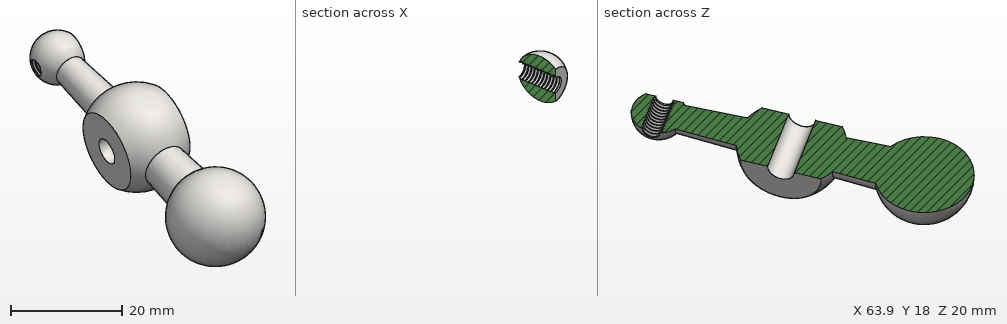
import cadquery as cq

small_radius = 5.0
middle_radius = 10.0
large_radius = 9.0
overall_length = 63.9
ball_spacing = (overall_length - small_radius - large_radius) / 2
small_x = -ball_spacing
large_x = ball_spacing

small_flat_offset = 3.5
middle_width = 13.0
middle_flat_offset = middle_width / 2

small_hole_diameter = 3.25
middle_hole_diameter = 5.0

thread_diameter = 3.95
thread_pitch = 0.7
groove_mouth = 0.6
first_groove_y = -4.15
groove_count = 11

handle_small_radius = 2.8
handle_large_radius = 4.9


def ball(x, radius):
    """Sphere with its poles on the Y direction."""
    return cq.Workplane("XZ").sphere(radius).translate((x, 0, 0))


def block_beyond_flat(x, radius, offset, side):
    """Material to remove outside a flat; side is 1 for +Y and -1 for -Y."""
    size = 4 * radius
    return cq.Workplane("XY").box(size, size, size).translate((x, side * (offset + size / 2), 0))


def threaded_hole():
    """Half profile of the small hole and its grooves, turned about the Y direction."""
    bore_radius = small_hole_diameter / 2
    profile = [(0, -small_radius), (bore_radius, -small_radius)]
    for index in range(groove_count):
        groove_y = first_groove_y + index * thread_pitch
        profile += [
            (bore_radius, groove_y - groove_mouth / 2),
            (thread_diameter / 2, groove_y),
            (bore_radius, groove_y + groove_mouth / 2),
        ]
    profile += [(bore_radius, small_radius), (0, small_radius)]
    cutter = cq.Workplane("XY").polyline(profile).close().revolve(360, (0, 0, 0), (0, 1, 0))
    return cutter.translate((small_x, 0, 0))


def plain_hole():
    return cq.Workplane("XZ").circle(middle_hole_diameter / 2).extrude(middle_radius, both=True)


handle = (
    cq.Workplane("XY")
    .polyline([
        (small_x, 0),
        (small_x, handle_small_radius),
        (large_x, handle_large_radius),
        (large_x, 0),
    ])
    .close()
    .revolve(360, (0, 0, 0), (1, 0, 0))
)

small_ball = ball(small_x, small_radius).cut(
    block_beyond_flat(small_x, small_radius, small_flat_offset, 1)
)
middle_ball = ball(0, middle_radius)
for side in (-1, 1):
    middle_ball = middle_ball.cut(block_beyond_flat(0, middle_radius, middle_flat_offset, side))

result = (
    handle
    .union(small_ball)
    .union(middle_ball)
    .union(ball(large_x, large_radius))
    .cut(threaded_hole())
    .cut(plain_hole())
)